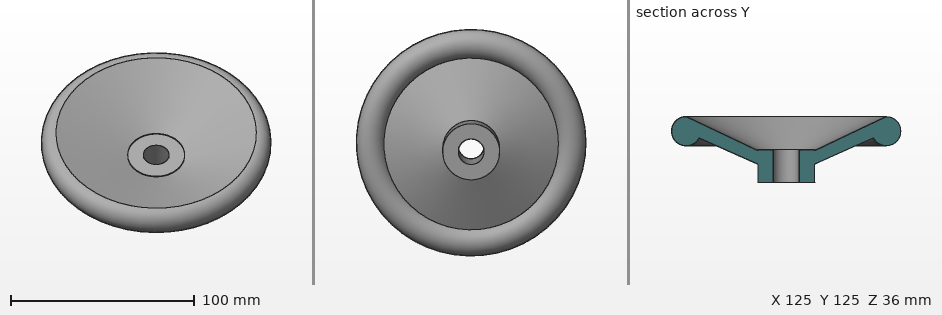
import cadquery as cq
import math

outer_diameter = 125.0
rim_thickness = 16.0
total_height = 36.0
hub_diameter = 31.0
bore_diameter = 14.0
hub_neck_height = 10.0
hub_top_height = 18.0
hub_step = 0.5
underside_guide_radius = 38.0

bore_radius = bore_diameter / 2
hub_radius = hub_diameter / 2
rim_radius = rim_thickness / 2
rim_center_radius = outer_diameter / 2 - rim_radius
rim_center_height = total_height - rim_radius
rim_bottom_height = total_height - rim_thickness
dish_floor_height = hub_top_height - hub_step


def underside_angle_on_rim():
    """Angle around the rim section, from outward, at which the dish underside meets it."""
    slope_angle = math.atan2(rim_bottom_height - hub_neck_height, underside_guide_radius - hub_radius)
    rise = rim_center_height - hub_neck_height
    run = rim_center_radius - hub_radius
    offset = rise * math.cos(slope_angle) - run * math.sin(slope_angle)
    return slope_angle + math.pi + math.asin(offset / rim_radius)


def rim_point(angle):
    """Point on the round rim section, as (radius, height)."""
    return (
        rim_center_radius + rim_radius * math.cos(angle),
        rim_center_height + rim_radius * math.sin(angle),
    )


def make_handwheel():
    """Revolve the hub, conical dish and round rim as a single section."""
    rim_start = underside_angle_on_rim()
    rim_outermost = 2 * math.pi
    rim_top = rim_outermost + math.pi / 2
    return (
        cq.Workplane("XZ")
        .moveTo(bore_radius, 0)
        .lineTo(hub_radius, 0)
        .lineTo(hub_radius, hub_neck_height)
        .lineTo(*rim_point(rim_start))
        .threePointArc(rim_point((rim_start + rim_outermost) / 2), rim_point(rim_outermost))
        .threePointArc(rim_point((rim_outermost + rim_top) / 2), rim_point(rim_top))
        .lineTo(hub_radius, dish_floor_height)
        .lineTo(hub_radius, hub_top_height)
        .lineTo(bore_radius, hub_top_height)
        .close()
        .revolve(360, (0, 0), (0, 1))
    )


result = make_handwheel()